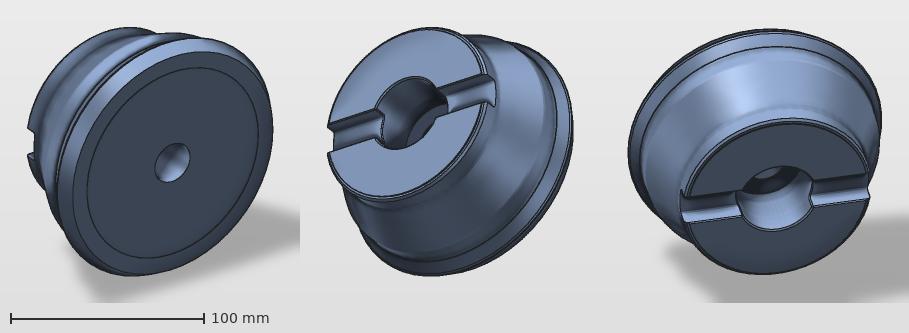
import cadquery as cq
import math

LENGTH = 63.0
RIM_RADIUS = 67.2

FACE_RADIUS = 47.7
FACE_STEP = 0.8
SHOULDER_RADIUS = 48.9
NECK_RADIUS = 100.0 / 2
NECK_CHAMFER_LENGTH = 1.3
NECK_END = 12.0
COLLAR_RADIUS = 124.4 / 2
COLLAR_START = 37.1
COLLAR_END = 46.6
TAPER_BLEND = 3.5
FLARE_BLEND = 2.5

RIM_SLOPE = math.tan(math.radians(30))
RIM_START = 54.8
RIM_END = 55.5
LIP_START = 47.4
FLARE_END = 54.0
SEAT_RADIUS = 53.7
HUB_SETBACK = 0.3

ENTRY_RADIUS = 40.2 / 2
ENTRY_CHAMFER = 0.8
LAND_RADIUS = 40.0 / 2
LAND_START = 10.0
LAND_LEAD = 0.8
LAND_END = 23.8
RELIEF_RADIUS = 20.4
RELIEF_TAPER = 2.8
BORE_DEPTH = 32.2
THROUGH_RADIUS = 22.0 / 2
THROUGH_CHAMFER = 0.4

SLOT_WIDTH = 16.5
SLOT_DEPTH = 9.0
SLOT_FILLET = 1.6
SLOT_CHAMFER_WIDTH = 0.4
SLOT_CORNER_CHAMFER = 0.5


def revolve_about_x(profile):
    """Turn a closed list of (x, radius) points into a solid about the X axis."""
    return cq.Workplane("XY").polyline(profile).close().revolve(360, (0, 0, 0), (1, 0, 0))


def blend_circle(body, x, radius, blend):
    """Round the circular edge that lies at the given x and radius."""
    margin = 0.1
    reach = radius + margin
    box = cq.selectors.BoxSelector(
        (x - margin, -reach, -reach), (x + margin, reach, reach), boundingbox=True
    )
    return body.edges(box).fillet(blend)


def flare_radius(x):
    return COLLAR_RADIUS + (x - COLLAR_END) * RIM_SLOPE


def make_hub_blank():
    hub_end = LENGTH - HUB_SETBACK
    blank = revolve_about_x([
        (0, 0),
        (0, FACE_RADIUS),
        (FACE_STEP, FACE_RADIUS),
        (FACE_STEP, SHOULDER_RADIUS),
        (FACE_STEP + NECK_CHAMFER_LENGTH, NECK_RADIUS),
        (NECK_END, NECK_RADIUS),
        (COLLAR_START, COLLAR_RADIUS),
        (COLLAR_END, COLLAR_RADIUS),
        (FLARE_END, flare_radius(FLARE_END)),
        (FLARE_END, SEAT_RADIUS),
        (hub_end, SEAT_RADIUS),
        (hub_end, 0),
    ])
    blank = blend_circle(blank, NECK_END, NECK_RADIUS, TAPER_BLEND)
    blank = blend_circle(blank, COLLAR_START, COLLAR_RADIUS, TAPER_BLEND)
    return blend_circle(blank, COLLAR_END, COLLAR_RADIUS, FLARE_BLEND)


def make_bore():
    return revolve_about_x([
        (0, 0),
        (0, ENTRY_RADIUS + ENTRY_CHAMFER),
        (ENTRY_CHAMFER, ENTRY_RADIUS),
        (LAND_START, ENTRY_RADIUS),
        (LAND_START + LAND_LEAD, LAND_RADIUS),
        (LAND_END, LAND_RADIUS),
        (LAND_END + RELIEF_TAPER, RELIEF_RADIUS),
        (BORE_DEPTH, RELIEF_RADIUS),
        (BORE_DEPTH, THROUGH_RADIUS + THROUGH_CHAMFER),
        (BORE_DEPTH + THROUGH_CHAMFER, THROUGH_RADIUS),
        (LENGTH, THROUGH_RADIUS),
        (LENGTH, 0),
    ])


def make_slot():
    """Slot along Y with rounded floor corners and chamfered mouth edges."""
    slot_length = 2 * RIM_RADIUS
    half = SLOT_WIDTH / 2
    mouth = half + SLOT_CHAMFER_WIDTH
    channel = (
        cq.Workplane("XY")
        .box(SLOT_DEPTH, slot_length, SLOT_WIDTH, centered=(False, True, True))
        .edges(">X and |Y").fillet(SLOT_FILLET)
    )
    mouth_bevel = (
        cq.Workplane("XZ")
        .polyline([(0, -mouth), (0, mouth), (FACE_STEP, half), (FACE_STEP, -half)])
        .close()
        .extrude(RIM_RADIUS, both=True)
    )
    return channel.union(mouth_bevel)


def make_cutting_ring():
    """Double-cone rim whose thin rear lip lies over the hub flare."""
    return revolve_about_x([
        (LIP_START, flare_radius(LIP_START)),
        (LIP_START, RIM_RADIUS - (RIM_START - LIP_START) * RIM_SLOPE),
        (RIM_START, RIM_RADIUS),
        (RIM_END, RIM_RADIUS),
        (LENGTH, RIM_RADIUS - (LENGTH - RIM_END) * RIM_SLOPE),
        (LENGTH, SEAT_RADIUS),
        (FLARE_END, SEAT_RADIUS),
        (FLARE_END, flare_radius(FLARE_END)),
    ])


def chamfer_slot_corners(body):
    """Bevel the four upright edges where the slot walls meet the entry bore."""
    half = SLOT_WIDTH / 2
    corner_y = math.sqrt(ENTRY_RADIUS ** 2 - half ** 2)
    margin = 0.1
    corners = body.edges("|X").filter(
        lambda edge: abs(abs(edge.Center().y) - corner_y) < margin
        and abs(abs(edge.Center().z) - half) < margin
    )
    return corners.chamfer(SLOT_CORNER_CHAMFER)


hub = chamfer_slot_corners(make_hub_blank().cut(make_bore()).cut(make_slot()))
cutting_ring = make_cutting_ring()

result = cq.Compound.makeCompound([hub.val(), cutting_ring.val()])